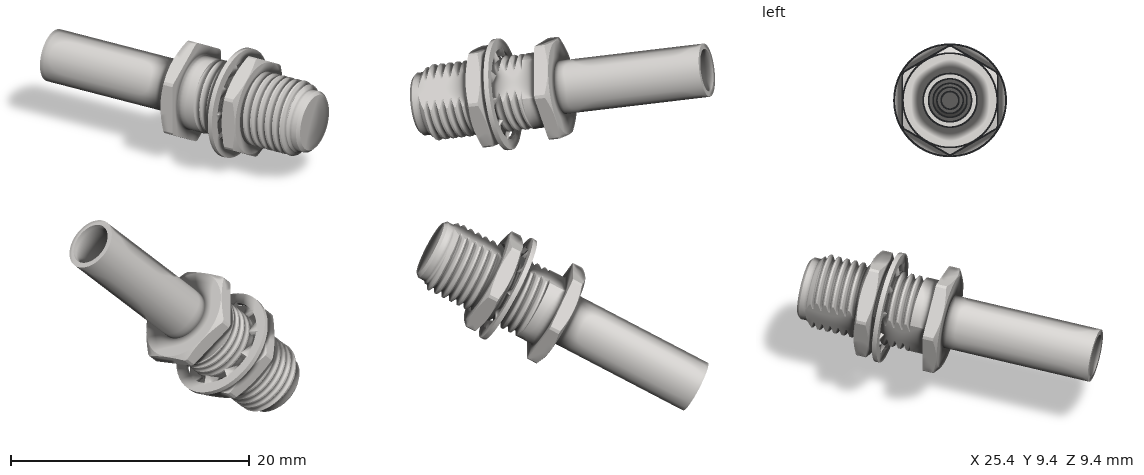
import cadquery as cq
import math

tube_length = 12.7
tube_radius = 2.25
cable_bore_radius = 1.8

across_flats = 8.0
corner_radius = 4.54
hex_chamfer_radius = 3.95
body_hex_thickness = 1.21
body_hex_chamfer = 0.3
nut_start = 5.95
nut_thickness = 1.32
nut_chamfer = 0.24

barrel_end = 12.65
thread_radius = 3.175
thread_pitch = 25.4 / 36
thread_depth = 0.375
thread_half_angle = math.radians(30)
crest_width = 0.16
thread_start = 2.7
first_groove = 1.1
nose_radius = 2.65
nose_start = 11.83
nose_chamfer = 0.25
flat_height = 2.65
collar_fillet = 0.13

contact_radius = 1.42
contact_tip_radius = 1.1
contact_tip_length = 0.3
cup_radius = 0.74
cup_depth = 2.0
contact_start = body_hex_thickness

washer_radius = 4.7
washer_rim_inner_radius = 3.8
washer_thickness = 0.4
washer_center = 5.23
tooth_count = 10
tooth_width = 1.15
tooth_thickness = 0.36
tooth_twist = -29
tooth_tip_radius = 3.2
tooth_embed = 0.2


def cylinder(start, end, radius):
    return cq.Workplane("YZ", origin=(start, 0, 0)).circle(radius).extrude(end - start)


def revolve_profile(points):
    """Revolve a closed (x, radius) outline about the X axis."""
    return cq.Workplane("XY").polyline(points).close().revolve(360, (0, 0, 0), (1, 0, 0))


def chamfered_hexagon(start, thickness, start_chamfer, end_chamfer):
    """Hexagonal prism with corners on +Z and -Z, turned to a conical chamfer on its ends."""
    end = start + thickness
    corner_diameter = across_flats / math.cos(math.radians(30))
    prism = (
        cq.Workplane("YZ", origin=(start, 0, 0))
        .transformed(rotate=(0, 0, 90))
        .polygon(6, corner_diameter)
        .extrude(thickness)
    )
    start_radius = hex_chamfer_radius if start_chamfer else corner_radius
    end_radius = hex_chamfer_radius if end_chamfer else corner_radius
    outline = [(start, 0), (start, start_radius)]
    if start_chamfer:
        outline.append((start + start_chamfer, corner_radius))
    if end_chamfer:
        outline.append((end - end_chamfer, corner_radius))
    outline += [(end, end_radius), (end, 0)]
    return prism.intersect(revolve_profile(outline))


def thread_groove():
    """Helical V groove with a flat root."""
    top_width = thread_pitch - crest_width
    clearance = 0.03
    root_half = top_width / 2 - thread_depth * math.tan(thread_half_angle)
    outer_half = top_width / 2 + clearance * math.tan(thread_half_angle)
    root_radius = thread_radius - thread_depth
    outer_radius = thread_radius + clearance
    helix = cq.Wire.makeHelix(thread_pitch, barrel_end - first_groove, root_radius)
    groove = (
        cq.Workplane("XZ")
        .polyline([
            (root_radius, -root_half),
            (outer_radius, -outer_half),
            (outer_radius, outer_half),
            (root_radius, root_half),
        ])
        .close()
        .sweep(cq.Workplane(obj=helix), isFrenet=True)
        .rotate((0, 0, 0), (0, 1, 0), 90)
        .translate((first_groove, 0, 0))
    )
    return groove


def with_flat(barrel):
    """Cut the flat along the +Y side of a barrel section."""
    waste = cq.Workplane("XY").box(
        nose_start, across_flats, across_flats, centered=(False, False, True)
    ).translate((0, flat_height, 0))
    return barrel.cut(waste)


def make_collar():
    return with_flat(cylinder(body_hex_thickness, thread_start, thread_radius))


def make_threaded_barrel():
    lead_in = thread_radius - nose_radius
    blank = revolve_profile([
        (thread_start, 0),
        (thread_start, thread_radius),
        (nose_start - lead_in, thread_radius),
        (nose_start, nose_radius),
        (barrel_end - nose_chamfer, nose_radius),
        (barrel_end, nose_radius - nose_chamfer),
        (barrel_end, 0),
    ])
    return with_flat(blank).cut(thread_groove())


def collar_edges(shape):
    """Edges where the collar meets the back of the body hex."""
    tolerance = 0.01
    selector = cq.selectors.BoxSelector(
        (body_hex_thickness - tolerance, -across_flats / 2 + 0.5, -thread_radius - tolerance),
        (body_hex_thickness + tolerance, across_flats / 2 - 0.5, thread_radius + tolerance),
        boundingbox=True,
    )
    return shape.edges(selector)


def make_body():
    outside = chamfered_hexagon(0, body_hex_thickness, body_hex_chamfer, 0).union(make_collar())
    outside = collar_edges(outside).fillet(collar_fillet)
    outside = outside.union(make_threaded_barrel())
    tube = cylinder(-tube_length, 0, tube_radius)
    cable_bore = cylinder(-tube_length, contact_start + contact_tip_length, cable_bore_radius)
    contact_bore = cylinder(0, barrel_end, contact_radius)
    return outside.union(tube).cut(cable_bore).cut(contact_bore)


def make_contact():
    blank = revolve_profile([
        (contact_start, 0),
        (contact_start, contact_tip_radius),
        (contact_start + contact_tip_length, contact_radius),
        (barrel_end, contact_radius),
        (barrel_end, 0),
    ])
    return blank.cut(cylinder(contact_start, contact_start + cup_depth, cup_radius))


def make_nut():
    blank = chamfered_hexagon(nut_start, nut_thickness, nut_chamfer, nut_chamfer)
    return blank.cut(cylinder(nut_start, nut_start + nut_thickness, thread_radius))


def make_washer():
    start = washer_center - washer_thickness / 2
    end = washer_center + washer_thickness / 2
    washer = cylinder(start, end, washer_radius).cut(cylinder(start, end, washer_rim_inner_radius))
    root_radius = washer_rim_inner_radius + tooth_embed
    tooth = (
        cq.Workplane("XZ", origin=(washer_center, -root_radius, 0))
        .rect(tooth_thickness, tooth_width)
        .workplane(offset=tooth_tip_radius - root_radius)
        .transformed(rotate=(0, 0, tooth_twist))
        .rect(tooth_thickness, tooth_width)
        .loft(ruled=True)
    )
    for index in range(tooth_count):
        washer = washer.union(tooth.rotate((0, 0, 0), (1, 0, 0), index * 360 / tooth_count))
    return washer


body = make_body()
contact = make_contact()
nut = make_nut()
washer = make_washer()
result = cq.Compound.makeCompound([body.val(), contact.val(), nut.val(), washer.val()])